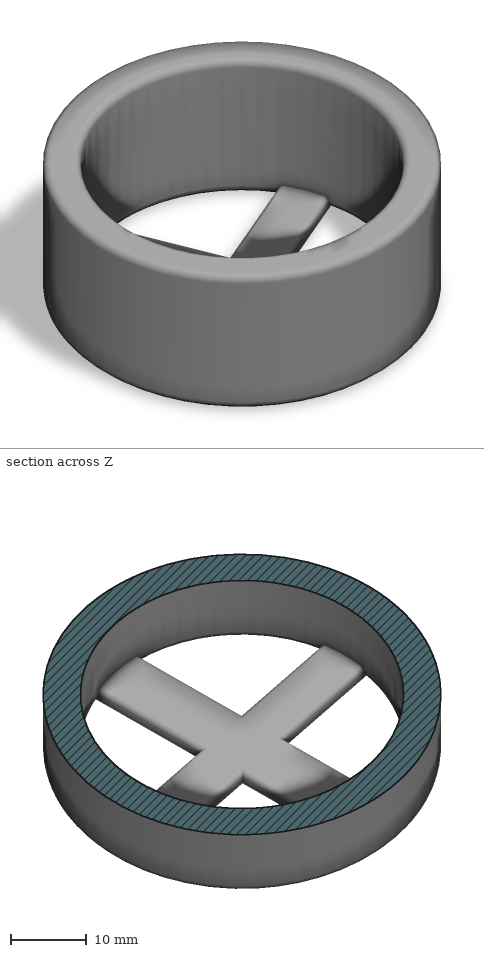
import cadquery as cq

outer_diameter = 52.5
inner_diameter = 42.5
height = 22.0
edge_radius = 1.0
bottom_chamfer = 1.0

x_bar_width = 8.5
y_bar_width = 7.1
bar_thickness = 2.0
bar_edge_radius = 0.75


def make_ring():
    """Ring with rounded top rims and bottom rims that are chamfered, then softened."""
    ring = cq.Workplane("XY").circle(outer_diameter / 2).circle(inner_diameter / 2).extrude(height)
    ring = ring.faces("<Z").edges().chamfer(bottom_chamfer)
    wall_corners = cq.selectors.BoxSelector(
        (-outer_diameter, -outer_diameter, bottom_chamfer / 2),
        (outer_diameter, outer_diameter, height / 2),
        boundingbox=True,
    )
    ring = ring.edges("%CIRCLE").edges(wall_corners).fillet(edge_radius)
    return ring.faces(">Z").edges().fillet(edge_radius)


def make_cross():
    """Two crossed bars with rounded top edges, ending inside the ring wall."""
    length = (outer_diameter + inner_diameter) / 2
    centered = (True, True, False)
    cross = cq.Workplane("XY").box(length, x_bar_width, bar_thickness, centered=centered)
    cross = cross.union(
        cq.Workplane("XY").box(y_bar_width, length, bar_thickness, centered=centered)
    )
    cross = cross.faces(">Z").edges().fillet(bar_edge_radius)
    limit = cq.Workplane("XY").circle((outer_diameter + inner_diameter) / 4 - bar_edge_radius)
    return cross.intersect(limit.extrude(bar_thickness))


result = make_ring().union(make_cross())